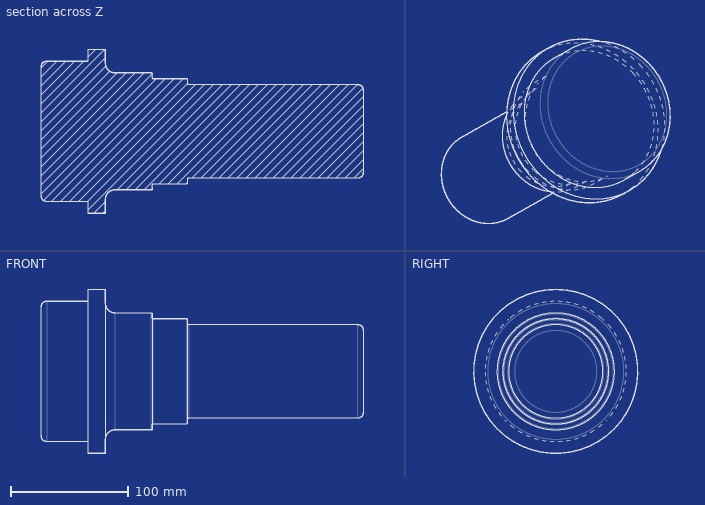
import cadquery as cq
import math

flange_radius = 70.0
radius_step = 5.0
head_radius = 60.0
collar_radius = 50.0
seat_radius = collar_radius - radius_step
shank_radius = seat_radius - radius_step

head_length = 40.0
flange_length = 15.0
collar_length = 40.0
seat_length = 30.0
total_length = 275.0

end_round = 5.0
flange_fillet = 8.0
edge_round = 1.0
seat_fillet = 0.5
shank_fillet = 1.0

start_x = 0.0
flange_x = start_x + head_length
flange_end_x = flange_x + flange_length
collar_end_x = flange_end_x + collar_length
seat_end_x = collar_end_x + seat_length
end_x = start_x + total_length


def outer_round(profile, x, radius, size, x_direction):
    """Draw a quarter arc over an outer corner at (x, radius).

    x_direction is +1 when the end face looks toward +X and the arc falls, and
    -1 when the end face looks toward -X and the arc rises.
    """
    inset = size * (1 - math.sqrt(0.5))
    on_face = (x, radius - size)
    on_cylinder = (x - x_direction * size, radius)
    middle = (x - x_direction * inset, radius - inset)
    arc_end = on_face if x_direction > 0 else on_cylinder
    arc_start = on_cylinder if x_direction > 0 else on_face
    return profile.lineTo(*arc_start).threePointArc(middle, arc_end)


def inner_fillet(profile, x, radius, size):
    """Draw a quarter arc from a +X face at x down to a smaller cylinder."""
    inset = size * (1 - math.sqrt(0.5))
    middle = (x + inset, radius + inset)
    return profile.lineTo(x, radius + size).threePointArc(middle, (x + size, radius))


def half_profile():
    """Closed half section of the pin above its axis."""
    profile = cq.Workplane("XZ").moveTo(start_x, 0)

    profile = outer_round(profile, start_x, head_radius, end_round, -1)
    profile = profile.lineTo(flange_x, head_radius)
    profile = profile.lineTo(flange_x, flange_radius)
    profile = profile.lineTo(flange_end_x, flange_radius)

    profile = inner_fillet(profile, flange_end_x, collar_radius, flange_fillet)
    profile = outer_round(profile, collar_end_x, collar_radius, edge_round, 1)

    profile = inner_fillet(profile, collar_end_x, seat_radius, seat_fillet)
    profile = outer_round(profile, seat_end_x, seat_radius, edge_round, 1)

    profile = inner_fillet(profile, seat_end_x, shank_radius, shank_fillet)
    profile = outer_round(profile, end_x, shank_radius, end_round, 1)

    return profile.lineTo(end_x, 0).close()


result = half_profile().revolve(360, (0, 0, 0), (1, 0, 0))